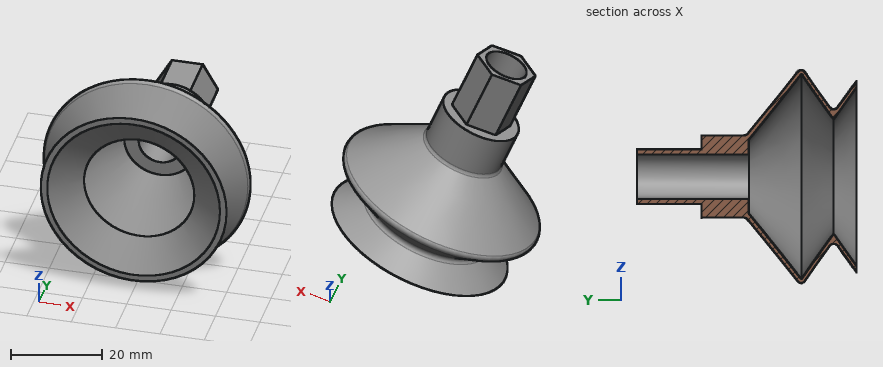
import cadquery as cq
import math


total_length = 48.0
hex_across_flats = 12.0
bore_radius = 4.8

lip_radius = 21.0
throat_radius = 14.0
throat_y = 5.0
rim_radius = 24.0
rim_y = 12.05
collar_radius = 9.0
collar_start = 24.15
collar_end = 33.95
corner_rounding = 1.0

lip_wall = 1.5
inner_throat_radius = 12.45
inner_rim_radius = 22.4
floor_radius = 8.05
floor_y = 23.5


def revolve_about_y(profile):
    return profile.close().revolve(360, (0, 0, 0), (0, 1, 0))


def outer_body():
    profile = (
        cq.Workplane("XY")
        .lineTo(lip_radius, 0)
        .lineTo(throat_radius, throat_y)
        .lineTo(rim_radius, rim_y)
        .lineTo(collar_radius, collar_start)
        .lineTo(collar_radius, collar_end)
        .lineTo(0, collar_end)
    )
    corners = revolve_about_y(profile).edges("%CIRCLE").edges("not(<Y or >Y)")
    return corners.fillet(corner_rounding)


def bellows_cavity():
    profile = (
        cq.Workplane("XY")
        .lineTo(lip_radius - lip_wall, 0)
        .lineTo(inner_throat_radius, throat_y)
        .lineTo(inner_rim_radius, rim_y)
        .lineTo(floor_radius, floor_y)
        .lineTo(0, floor_y)
    )
    return revolve_about_y(profile)


def hex_stem():
    across_corners = hex_across_flats / math.cos(math.pi / 6)
    return (
        cq.Workplane("XZ", origin=(0, total_length, 0))
        .polygon(6, across_corners)
        .extrude(total_length - floor_y)
    )


def bore():
    return cq.Workplane("XZ", origin=(0, total_length, 0)).circle(bore_radius).extrude(total_length)


result = outer_body().cut(bellows_cavity()).union(hex_stem()).cut(bore())